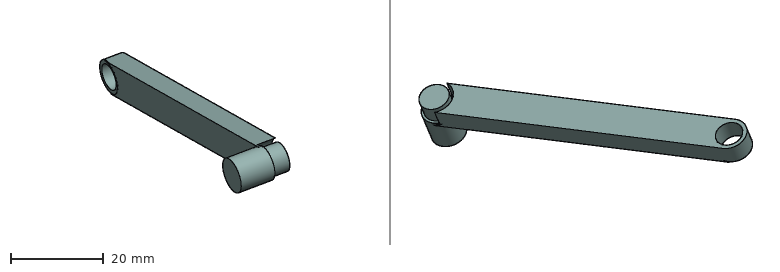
import cadquery as cq
import math

SPAN_X = 65.85
SPAN_Z = 23.81
ARM_LENGTH = math.hypot(SPAN_X, SPAN_Z)
ARM_ANGLE = math.degrees(math.atan2(SPAN_Z, SPAN_X))

END_RADIUS = 4.0
ARM_WIDTH = 2 * END_RADIUS
ARM_THICKNESS = 5.0

HOLE_RADIUS = 3.05
RECESS_DEPTH = 0.25

PIN_RADIUS = 3.4
BOSS_BACK_DEPTH = 4.1
BOSS_FRONT_DEPTH = 12.5
CLEARANCE_RADIUS = 4.3
CLEARANCE_DEPTH = 4.4


def cylinder(along, radius, back_depth, front_depth):
    """Cylinder parallel to Y, centred at the given distance along the arm."""
    return (
        cq.Workplane("XZ", origin=(0, -back_depth, 0))
        .center(along, 0)
        .circle(radius)
        .extrude(front_depth - back_depth)
    )


def make_bar():
    """Straight bar between the two axes, rounded at the hole end."""
    bar = (
        cq.Workplane("XZ")
        .center(ARM_LENGTH / 2, 0)
        .rect(ARM_LENGTH, ARM_WIDTH)
        .extrude(ARM_THICKNESS)
    )
    return bar.union(cylinder(0, END_RADIUS, 0, ARM_THICKNESS))


def cut_hole_end(bar):
    """Through hole, with a shallow recess across the full rounded end."""
    recess = cylinder(0, END_RADIUS, ARM_THICKNESS - RECESS_DEPTH, ARM_THICKNESS)
    hole = cylinder(0, HOLE_RADIUS, 0, ARM_THICKNESS)
    return bar.cut(recess).cut(hole)


def add_boss_end(bar):
    """Clear the back of the bar, then add the pin and the boss in front of it."""
    clearance = cylinder(ARM_LENGTH, CLEARANCE_RADIUS, 0, CLEARANCE_DEPTH)
    pin = cylinder(ARM_LENGTH, PIN_RADIUS, 0, BOSS_BACK_DEPTH)
    boss = cylinder(ARM_LENGTH, END_RADIUS, BOSS_BACK_DEPTH, BOSS_FRONT_DEPTH)
    return bar.cut(clearance).union(pin).union(boss)


level_arm = add_boss_end(cut_hole_end(make_bar()))
result = level_arm.rotate((0, 0, 0), (0, -1, 0), ARM_ANGLE)